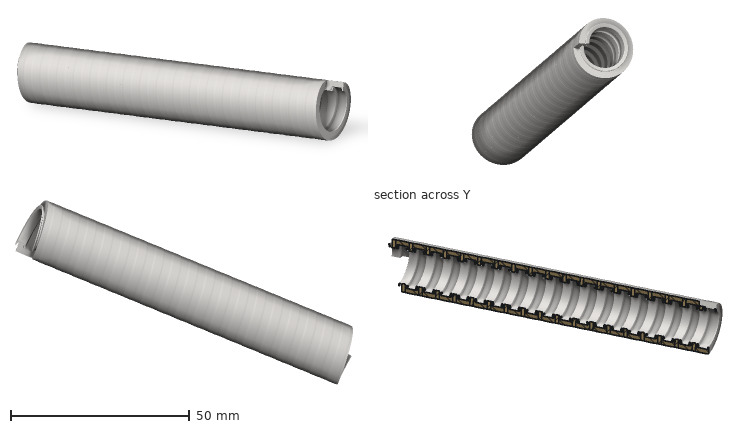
import cadquery as cq
length = 100.5
outer_diameter = 16.9

outer_radius = outer_diameter / 2
stem_radius = 16.8 / 2
channel_radius = 13.7 / 2
hook_radius = 13.4 / 2
hook_bevel_radius = 13.1 / 2
leg_radius = 11.9 / 2
floor_radius = 11.6 / 2
bore_radius = 11.2 / 2
clearance = channel_radius - hook_radius

stem_width = 1.2
shoulder_flat = 0.44
shoulder_slope = 0.44
leg_root_width = 0.5
leg_tip_width = 0.25
hook_reach = 0.96
hook_bevel = 0.15
foot_reach = 0.75
foot_flat_reach = 0.65

turns = 18.22
pitch = (length - hook_reach) / (turns + 1)
axis_turn = 120.0


def mirrored(half_outline, center):
    """Full outline of (axial, radial) points, from its left half and the axial place of its middle."""
    right_half = [(2 * center - x, r) for x, r in reversed(half_outline)]
    return half_outline + right_half


def wind(half_outline, center):
    """Sweep a symmetric outline along the helix and lay the coil along X."""
    outline = mirrored(half_outline, center)
    helix = cq.Wire.makeHelix(pitch, pitch * turns, bore_radius, center=cq.Vector(0, 0, center))
    profile = cq.Workplane("XZ").polyline([(r, x) for x, r in outline]).close()
    coil = profile.sweep(cq.Workplane(obj=helix), isFrenet=True)
    coil = coil.rotate((0, 0, 0), (1, 1, 1), axis_turn)
    return coil.translate((hook_reach, 0, 0))


def leg_width(radius):
    """Axial width of the outer strip's tapered leg at a radius, its slope extended past the tip."""
    taper = (leg_root_width - leg_tip_width) / (channel_radius - leg_radius)
    return leg_tip_width + taper * (radius - leg_radius)


def make_inner_strip():
    """Stem that reaches the outside, on a thin foot with a hook along each edge."""
    left_half = [
        (-foot_flat_reach, bore_radius),
        (-foot_reach, floor_radius),
        (-hook_reach, hook_bevel_radius),
        (-hook_reach + hook_bevel, hook_radius),
        (-leg_width(hook_radius) - clearance, hook_radius),
        (-leg_width(floor_radius) - clearance, floor_radius),
        (0, floor_radius),
        (0, stem_radius),
    ]
    return wind(left_half, stem_width / 2)


def make_outer_strip():
    """Channel that opens inward, with legs that drop between the hooks and the stems."""
    left = stem_width
    left_half = [
        (left + leg_root_width, channel_radius),
        (left + leg_tip_width, leg_radius),
        (left, leg_radius),
        (left, stem_radius),
        (left + shoulder_flat, stem_radius),
        (left + shoulder_flat + shoulder_slope, outer_radius),
    ]
    return wind(left_half, (stem_width + pitch) / 2)


inner_strip = make_inner_strip()
outer_strip = make_outer_strip()
result = cq.Compound.makeCompound([inner_strip.val(), outer_strip.val()])